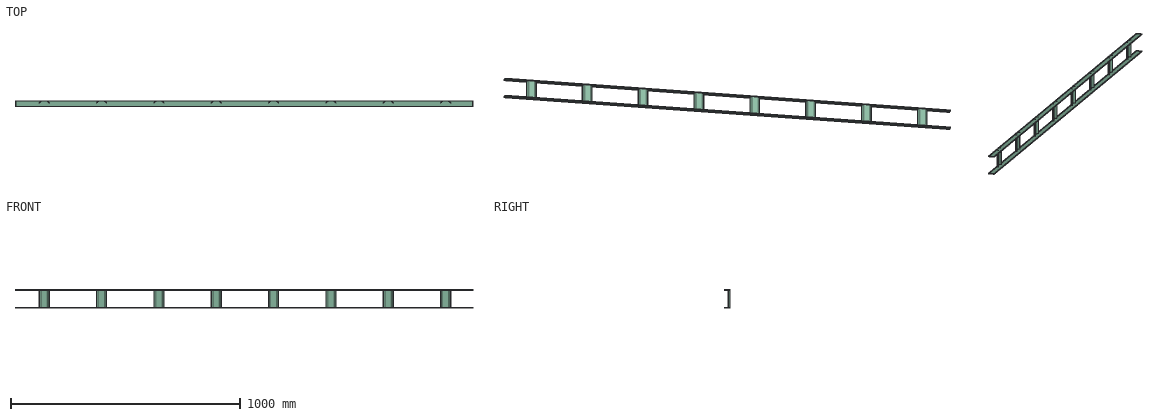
import cadquery as cq
import math

frame_length = 1994.0
frame_depth = 25.0
frame_height = 81.0
bar_thickness = 3.0

post_count = 8
post_pitch = 250.0
first_post_inset = 125.0
post_height = frame_height - 2 * bar_thickness
post_width = 44.5
post_depth = 9.0
sheet_thickness = 1.0
flank_angle = 45.0
bend_inner_radius = 2.0
bend_outer_radius = bend_inner_radius + sheet_thickness

pick_margin = 0.1


def flat_bar(bottom_z):
    """Horizontal flat bar running the whole length of the frame."""
    return (
        cq.Workplane("XY")
        .workplane(offset=bottom_z)
        .rect(frame_length, frame_depth)
        .extrude(bar_thickness)
    )


def round_bends(post, half_web, web_y, radius):
    """Round the two vertical bend lines at x = -half_web and x = half_web on one face of the web."""
    bend_lines = cq.selectors.BoxSelector(
        (-half_web - pick_margin, web_y - pick_margin, -post_height),
        (half_web + pick_margin, web_y + pick_margin, post_height),
    )
    return post.edges("|Z").edges(bend_lines).fillet(radius)


def channel_post(center_x):
    """Bent-sheet post: a web flush with the bars' +Y edges and two flanks flaring out toward -Y."""
    slope = math.radians(flank_angle)

    tip_run = sheet_thickness * math.sin(slope)
    tip_rise = sheet_thickness * math.cos(slope)
    half_width = post_width / 2
    web_back = frame_depth / 2
    web_front = web_back - sheet_thickness
    tip_front = web_back - post_depth
    tip_back = tip_front + tip_rise

    outer_half_web = half_width - (post_depth - tip_rise) / math.tan(slope)
    inner_half_web = outer_half_web - sheet_thickness * math.tan(slope / 2)

    profile = [
        (-half_width, tip_back),
        (-outer_half_web, web_back),
        (outer_half_web, web_back),
        (half_width, tip_back),
        (half_width - tip_run, tip_front),
        (inner_half_web, web_front),
        (-inner_half_web, web_front),
        (-half_width + tip_run, tip_front),
    ]
    post = (
        cq.Workplane("XY")
        .workplane(offset=-post_height / 2)
        .polyline(profile)
        .close()
        .extrude(post_height)
    )
    post = round_bends(post, inner_half_web, web_front, bend_inner_radius)
    post = round_bends(post, outer_half_web, web_back, bend_outer_radius)
    return post.translate((center_x, 0, 0))


lower_bar = flat_bar(-frame_height / 2)
upper_bar = flat_bar(frame_height / 2 - bar_thickness)

first_post_x = -frame_length / 2 + first_post_inset
posts = [channel_post(first_post_x + i * post_pitch) for i in range(post_count)]

result = cq.Compound.makeCompound(
    [lower_bar.val(), upper_bar.val(), *[post.val() for post in posts]]
)